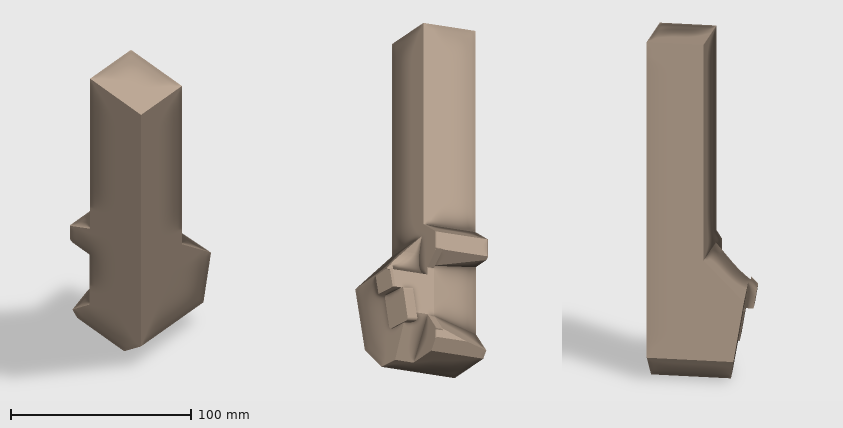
import cadquery as cq
import math


total_height = 195.5
shank_width = 40.0
shank_depth = 32.0
seam_z = 82.3

jaw_x = -16.5
lip_x = -17.0
jaw_top_z = 68.0
jaw_root_z = 77.5
jaw_bevel = 0.5
lip_drop = 1.2
foot_bevel = 6.3
heel_bevel = 13.3

window_x = -5.5
window_mouth_top_z = 58.0
window_top_z = 50.5
window_bottom_z = 22.7
draft_end_y = 28.2
draft_end_top_z = 51.8
draft_front_x = -0.4
draft_front_top_z = 56.7
draft_front_bottom_z = 17.5

ramp_start_z = 71.0
undercut_z = 22.9
undercut_foot_x = 12.7

rear_plane_y = 41.9
skew = 0.12
lean = 0.17

boss_right_x = 10.2
boss_bottom_z = 36.2
boss_height_off_plane = 5.5
boss_bevel = 1.0

gullet_radius = 11.7
gullet_x = -5.9
gullet_z = 57.9
gullet_wall_angle = 18.0

breaker_left_x = -0.5
breaker_depth = 4.5
breaker_seat_z = 47.7

insert_size = 19.2
insert_thickness = 6.5
insert_proud = 1.0
insert_left = -6.6
insert_bottom = 17.6
insert_corner_radius = 1.5

clear = 78.2
window_reach_x = 2 * lip_x


def prism(points, y_start, y_end):
    """Polygon of (x, z) points drawn between two y positions."""
    face = cq.Workplane("XZ", origin=(0, y_start, 0)).polyline(points).close()
    return face.extrude(y_start - y_end)


def rear_plane(offset=0.0):
    """Plane parallel to the rear of the head, offset outwards; its local z points into the head."""
    normal = cq.Vector(skew, -1, lean).normalized()
    origin = cq.Vector(0, rear_plane_y, 0) - normal * offset
    return cq.Plane(origin=origin, xDir=(1, skew, 0), normal=normal)


def inside_limit(offset):
    """Everything in front of the rear plane moved outwards by offset."""
    return cq.Workplane(rear_plane(offset)).rect(4 * clear, 4 * clear).extrude(clear)


def below_ramp():
    """Everything under the 45 degree ramp that falls from the shank towards the rear."""
    ramp_length = 2 * shank_depth
    profile = [
        (shank_depth, -clear),
        (shank_depth, ramp_start_z),
        (shank_depth + ramp_length, ramp_start_z - ramp_length),
        (shank_depth + ramp_length, -clear),
    ]
    return cq.Workplane("YZ").polyline(profile).close().extrude(clear, both=True)


def make_shank():
    section = cq.Workplane("XY", origin=(0, 0, seam_z)).rect(shank_width, shank_depth, centered=False)
    return section.extrude(total_height - seam_z)


def window_profile(mouth_x, wall_x, mouth_top_z, top_z, bottom_z):
    """Window outline, open to the left, with a 45 degree lower side."""
    return [
        (window_reach_x, mouth_top_z),
        (mouth_x, mouth_top_z),
        (wall_x, top_z),
        (wall_x, bottom_z),
        (window_reach_x, bottom_z + window_reach_x - wall_x),
    ]


def draft_profile(wall_x, top_z, bottom_z):
    """Outline of the drafted cut, open to the left, with a level roof and a 45 degree lower side."""
    return [
        (window_reach_x, top_z),
        (wall_x, top_z),
        (wall_x, bottom_z),
        (window_reach_x, bottom_z + window_reach_x - wall_x),
    ]


def make_window():
    front = window_profile(jaw_x, window_x, window_mouth_top_z, window_top_z + lip_drop, window_bottom_z)
    rear = window_profile(lip_x, window_x, window_mouth_top_z, window_top_z, window_bottom_z)
    drafted = (
        cq.Workplane("XZ")
        .polyline(draft_profile(draft_front_x, draft_front_top_z, draft_front_bottom_z))
        .close()
        .workplane(offset=-draft_end_y)
        .polyline(draft_profile(window_x, draft_end_top_z, window_bottom_z))
        .close()
        .loft(ruled=True)
    )
    straight = prism(front, 0, draft_end_y).union(prism(rear, draft_end_y, shank_depth))
    return straight.union(drafted)


def make_lip(edge_z):
    """Small ridge that stands out of the jaw face at the mouth of the window."""
    rise = jaw_x - lip_x
    points = [(jaw_x, edge_z + rise), (lip_x, edge_z), (jaw_x, edge_z - rise), (0, edge_z)]
    return prism(points, draft_end_y, shank_depth)


def make_front_half():
    outline = [
        (0, seam_z),
        (shank_width, seam_z),
        (shank_width, heel_bevel),
        (shank_width - heel_bevel, 0),
        (jaw_x + foot_bevel, 0),
        (jaw_x, foot_bevel),
        (jaw_x, jaw_top_z),
        (0, jaw_root_z),
    ]
    half = prism(outline, 0, shank_depth)
    half = half.faces("<X").edges("|Z").chamfer(jaw_bevel)
    lower_lip_z = window_bottom_z + lip_x - window_x
    for edge_z in (lower_lip_z, window_mouth_top_z):
        half = half.union(make_lip(edge_z))
    return half.cut(make_window())


def make_rear_half():
    outline = [
        (window_x, ramp_start_z),
        (shank_width, ramp_start_z),
        (shank_width, heel_bevel),
        (shank_width - heel_bevel, 0),
        (undercut_foot_x, 0),
        (window_x, undercut_z),
    ]
    return prism(outline, shank_depth, clear).intersect(inside_limit(0)).intersect(below_ramp())


def make_boss():
    outline = [
        (window_x, boss_bottom_z),
        (boss_right_x, boss_bottom_z),
        (boss_right_x, ramp_start_z),
        (window_x, ramp_start_z),
    ]
    boss = prism(outline, shank_depth, clear).intersect(inside_limit(boss_height_off_plane))
    boss = boss.faces(">Y").edges("<X").chamfer(boss_bevel)
    return boss.intersect(below_ramp())


def make_gullet():
    angle = math.radians(gullet_wall_angle)
    wall_x = gullet_x + gullet_radius * math.cos(angle)
    wall_z = gullet_z + gullet_radius * math.sin(angle)
    wall_top_z = ramp_start_z + gullet_radius
    wall_top_x = wall_x - (wall_top_z - wall_z) * math.tan(angle)
    floor_z = gullet_z - gullet_radius
    profile = (
        cq.Workplane("XZ", origin=(0, shank_depth, 0))
        .moveTo(gullet_x, floor_z)
        .threePointArc((gullet_x + gullet_radius, gullet_z), (wall_x, wall_z))
        .lineTo(wall_top_x, wall_top_z)
        .lineTo(-clear, wall_top_z)
        .lineTo(-clear, floor_z)
        .close()
    )
    return profile.extrude(-clear)


def make_breaker():
    """Wedge with a flat seat; its top continues the ramp and its rear is flush with the boss."""
    outline = [
        (breaker_left_x, breaker_seat_z),
        (boss_right_x, breaker_seat_z),
        (boss_right_x, ramp_start_z),
        (breaker_left_x, ramp_start_z),
    ]
    slab = prism(outline, shank_depth, clear).intersect(inside_limit(boss_height_off_plane))
    slab = slab.cut(inside_limit(boss_height_off_plane - breaker_depth))
    return slab.intersect(below_ramp())


def make_insert():
    centre_x = insert_left + insert_size / 2
    centre_up = insert_bottom + insert_size / 2
    return (
        cq.Workplane(rear_plane(insert_proud))
        .center(centre_x, centre_up)
        .rect(insert_size, insert_size)
        .extrude(insert_thickness)
        .edges(cq.selectors.ParallelDirSelector(rear_plane().zDir))
        .fillet(insert_corner_radius)
    )


shank = make_shank()
breaker = make_breaker()
insert = make_insert()

head = make_front_half().union(make_rear_half().union(make_boss()).cut(make_gullet()))
head = head.cut(breaker).cut(insert)

result = cq.Compound.makeCompound([body.solids().val() for body in (shank, head, insert, breaker)])